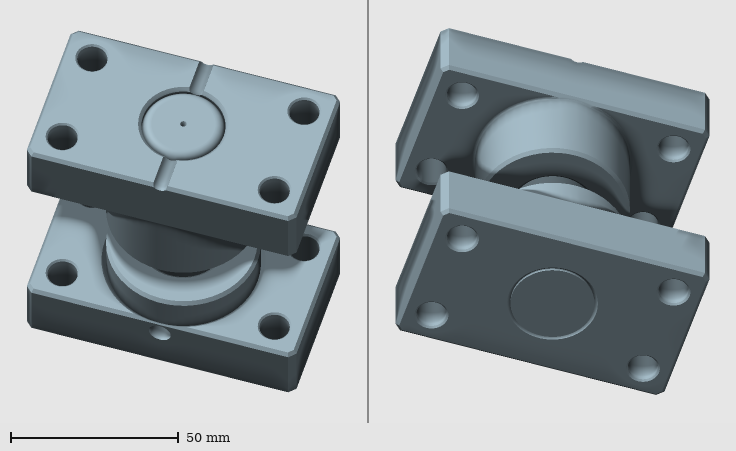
import cadquery as cq
import math

plate_length = 84.0
plate_width = 48.0
plate_height = 20.0
total_height = 90.1
edge_chamfer = 1.0
corner_chamfer = 2.0

bolt_hole_diameter = 9.0
bolt_hole_chamfer = 0.5
bolt_spacing_x = 66.1
bolt_spacing_y = 30.0

boss_diameter = 46.1
upper_boss_height = 25.05
lower_boss_height = 10.0
boss_fillet = 0.8
relief_size = 1.35
pin_diameter = 25.05
pin_end_fillet = 3.0
center_mark_radius = 1.0
center_mark_angle = 60.0

groove_radius = 2.25
groove_depth = 1.9
lock_hole_diameter = 6.85
lock_hole_drop = 5.05

upper_plate_bottom = total_height - plate_height
pin_radius = pin_diameter / 2
boss_radius = boss_diameter / 2


def make_plate():
    """Plate with chamfered corners and rims, standing on Z = 0, without holes."""
    return (
        cq.Workplane("XY")
        .box(plate_length, plate_width, plate_height, centered=(True, True, False))
        .edges("|Z")
        .chamfer(corner_chamfer)
        .faces("<Z or >Z")
        .edges()
        .chamfer(edge_chamfer)
    )


def make_countersunk_bore(diameter, height, chamfer):
    """Cutter for a through bore from Z = 0 to height, chamfered at both mouths."""
    bore_radius = diameter / 2
    mouth_radius = bore_radius + chamfer
    return (
        cq.Workplane("XZ")
        .moveTo(0, 0)
        .lineTo(mouth_radius, 0)
        .lineTo(bore_radius, chamfer)
        .lineTo(bore_radius, height - chamfer)
        .lineTo(mouth_radius, height)
        .lineTo(0, height)
        .close()
        .revolve(360, (0, 0, 0), (0, 1, 0))
    )


def cut_bolt_holes(plate):
    """Cut the four corner holes, countersunk on both faces."""
    cutter = make_countersunk_bore(bolt_hole_diameter, plate_height, bolt_hole_chamfer)
    for side_x in (-1, 1):
        for side_y in (-1, 1):
            place = (side_x * bolt_spacing_x / 2, side_y * bolt_spacing_y / 2, 0)
            plate = plate.cut(cutter.translate(place))
    return plate


def make_boss(height):
    """Round boss on Z = 0 with a chamfered upper rim."""
    return cq.Workplane("XY").circle(boss_radius).extrude(height).faces(">Z").chamfer(edge_chamfer)


def make_lower_block():
    """Base plate with a low boss set in a V-shaped relief, bored for the pin, with a lock hole."""
    plate = cut_bolt_holes(make_plate())
    relief = (
        cq.Workplane("XZ")
        .moveTo(boss_radius + relief_size, plate_height)
        .lineTo(boss_radius, plate_height - relief_size)
        .lineTo(boss_radius, plate_height)
        .close()
        .revolve(360, (0, 0, 0), (0, 1, 0))
    )
    lock_hole = (
        cq.Workplane("XZ")
        .center(0, plate_height - lock_hole_drop)
        .circle(lock_hole_diameter / 2)
        .extrude(plate_width / 2)
    )
    boss = make_boss(lower_boss_height + relief_size).translate((0, 0, plate_height - relief_size))
    bore = make_countersunk_bore(pin_diameter, plate_height + lower_boss_height, edge_chamfer)
    return plate.cut(relief).union(boss).cut(bore).cut(lock_hole)


def make_upper_block():
    """Top plate with a tall boss hanging below it, bored for the pin and grooved across its top face."""
    boss = make_boss(upper_boss_height + edge_chamfer).rotate((0, 0, 0), (1, 0, 0), 180)
    block = make_plate().union(boss.translate((0, 0, edge_chamfer)))
    near_underside = cq.selectors.BoxSelector(
        (-boss_radius, -boss_radius, -edge_chamfer), (boss_radius, boss_radius, edge_chamfer)
    )
    curved = cq.selectors.StringSyntaxSelector("%CIRCLE or %ELLIPSE")
    block = cut_bolt_holes(block.edges(near_underside & curved).fillet(boss_fillet))
    bore = make_countersunk_bore(pin_diameter, plate_height + upper_boss_height, edge_chamfer)
    groove = (
        cq.Workplane("XZ")
        .center(0, plate_height - groove_depth + groove_radius)
        .circle(groove_radius)
        .extrude(plate_width / 2, both=True)
    )
    block = block.cut(bore.translate((0, 0, -upper_boss_height))).cut(groove)
    return block.translate((0, 0, upper_plate_bottom))


def make_pin():
    """Full-height guide pin with a rounded top end and a conical center mark."""
    center_mark_depth = center_mark_radius / math.tan(math.radians(center_mark_angle / 2))
    mark_cone = cq.Solid.makeCone(
        0, center_mark_radius, center_mark_depth, pnt=(0, 0, total_height - center_mark_depth)
    )
    return (
        cq.Workplane("XY")
        .circle(pin_radius)
        .extrude(total_height)
        .faces(">Z")
        .edges()
        .fillet(pin_end_fillet)
        .cut(cq.Workplane(mark_cone))
    )


lower_block = make_lower_block()
upper_block = make_upper_block()
pin = make_pin()
result = cq.Compound.makeCompound([lower_block.val(), upper_block.val(), pin.val()])